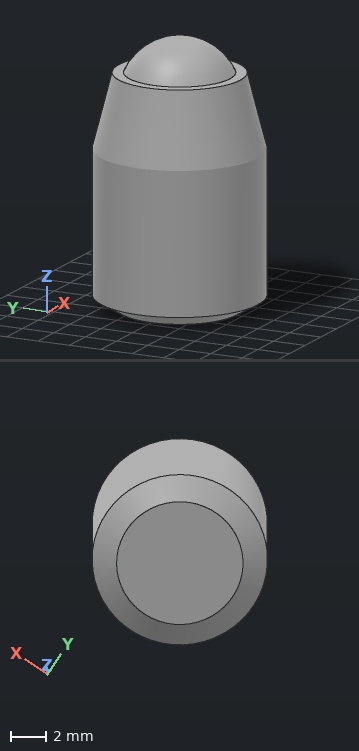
import cadquery as cq
import math

total_height = 16.0
body_radius = 10.0 / 2
base_radius = 3.6
chamfer_height = 0.8
shoulder_height = 9.44
nose_height = 13.92
nose_radius = 3.85

ball_radius = 3.5
ball_centre_height = total_height - ball_radius
rim_radius = math.sqrt(ball_radius**2 - (nose_height - ball_centre_height) ** 2)
arc_angle = math.acos(rim_radius / ball_radius) / 2 + math.pi / 4
arc_middle = (
    ball_radius * math.cos(arc_angle),
    ball_centre_height + ball_radius * math.sin(arc_angle),
)

profile = (
    cq.Workplane("XZ")
    .moveTo(0, 0)
    .lineTo(base_radius, 0)
    .lineTo(body_radius, chamfer_height)
    .lineTo(body_radius, shoulder_height)
    .lineTo(nose_radius, nose_height)
    .lineTo(rim_radius, nose_height)
    .threePointArc(arc_middle, (0, total_height))
    .close()
)

result = profile.revolve(360, (0, 0, 0), (0, 1, 0))